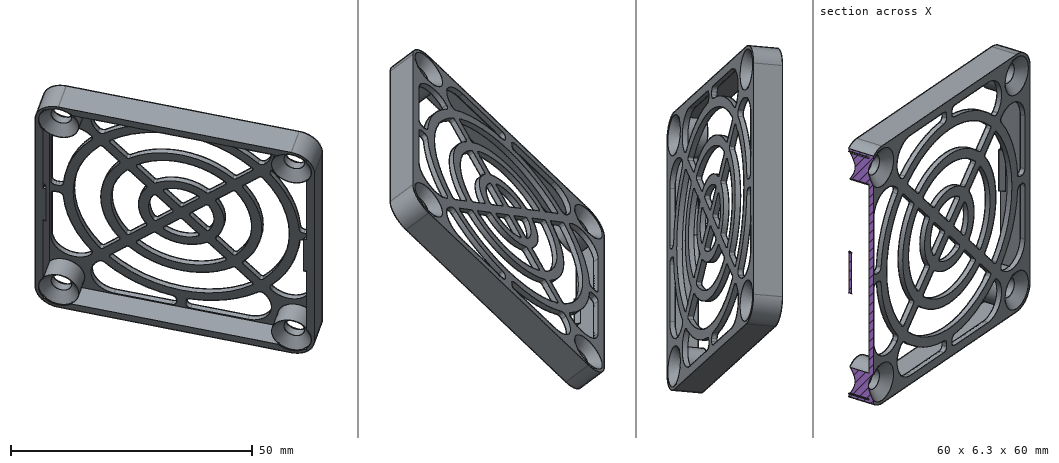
import cadquery as cq

side = 60.0
depth = 6.3
corner_radius = 5.0
wall = 1.75
cavity_side = side - 2 * wall
grille_thickness = 1.2
cavity_depth = depth - grille_thickness

screw_spacing = 50.0
post_diameter = 8.6
screw_hole_diameter = 4.4
countersink_depth = (post_diameter - screw_hole_diameter) / 2
rim_recess = 0.3

bar_width = 2.2
half_bar = bar_width / 2
bridge_width = 2.0
ring_pitch = 8.1
ring_count = 3
outer_ring_radius = ring_count * ring_pitch + half_bar
opening_side = 56.0
cell_corner_radius = 0.5
opening_small_radius = 1.0
opening_large_radius = 5.0

pad_length = 9.6
pad_projection = 0.65
pad_depth = 1.25
pad_root = wall / 2


def plane_at(y):
    """Workplane at the given Y whose extrusions run towards +Y."""
    return cq.Workplane("ZX", origin=(0, y, 0))


def turn(shape, angle):
    """Rotate a shape about the central Y axis."""
    return shape.rotate((0, 0, 0), (0, 1, 0), angle)


def make_frame():
    """Rounded block hollowed from the rim down to the grille."""
    block = plane_at(0).rect(side, side).extrude(depth)
    block = block.edges("|Y").fillet(corner_radius)
    cavity = plane_at(0).rect(cavity_side, cavity_side).extrude(cavity_depth)
    return block.cut(cavity)


def make_posts():
    """Four solid posts, one in each corner."""
    centers = plane_at(0).rect(screw_spacing, screw_spacing, forConstruction=True).vertices()
    return centers.circle(post_diameter / 2).extrude(depth)


def make_pads():
    """Wedges that stand proud of both X walls at the rim and fade out into the walls further in."""
    wall_face = cavity_side / 2
    profile = [
        (wall_face + pad_root, 0),
        (wall_face - pad_projection, 0),
        (wall_face, pad_depth),
        (wall_face + pad_root, pad_depth),
    ]
    pad = cq.Workplane("XY").polyline(profile).close().extrude(pad_length / 2, both=True)
    return pad.union(turn(pad, 180))


def make_disc(radius):
    """Disc filling the grille thickness."""
    return plane_at(cavity_depth).circle(radius).extrude(grille_thickness)


def make_spokes():
    """Two crossed bars along the diagonals."""
    bar = plane_at(cavity_depth).rect(2 * side, bar_width).extrude(grille_thickness)
    return turn(bar, 45).union(turn(bar, -45))


def keep_between_spokes(shape):
    """Keep the quarter of a grille shape that lies around +X, clear of the spokes."""
    triangle = [(0, 0), (side, side), (-side, side)]
    quarter = plane_at(cavity_depth).polyline(triangle).close().extrude(grille_thickness)
    return shape.intersect(quarter).cut(make_spokes())


def make_ring_cell(index):
    """Opening around +X just inside the ring of the given index, counted from the centre."""
    cell = make_disc((index + 1) * ring_pitch - half_bar)
    if index > 0:
        cell = cell.cut(make_disc(index * ring_pitch + half_bar))
    return keep_between_spokes(cell).edges("|Y").fillet(cell_corner_radius)


def make_frame_opening():
    """Opening around +X between the outer ring and the frame, on the +Z side of the bridge."""
    opening = plane_at(cavity_depth).rect(opening_side, opening_side).extrude(grille_thickness)
    opening = keep_between_spokes(opening.cut(make_disc(outer_ring_radius)))
    above_bridge = cq.Workplane("XY", origin=(0, 0, bridge_width / 2)).rect(side, side).extrude(side)
    opening = opening.intersect(above_bridge)
    opening = opening.edges("|Y").edges("not >Z").fillet(opening_small_radius)
    return opening.edges("|Y and >Z").fillet(opening_large_radius)


def make_screw_cutter():
    """Stepped cutter on the central axis: rim recess, countersink, hole and rear countersink."""
    wide = post_diameter / 2
    narrow = screw_hole_diameter / 2
    profile = [
        (0, 0),
        (wide, 0),
        (wide, rim_recess),
        (narrow, rim_recess + countersink_depth),
        (narrow, depth - countersink_depth),
        (wide, depth),
        (0, depth),
    ]
    return cq.Workplane("XY").polyline(profile).close().revolve(360, (0, 0, 0), (0, 1, 0))


def make_quarter_cuts():
    """Everything cut from one quarter; the other quarters repeat it."""
    frame_opening = make_frame_opening()
    cuts = [make_ring_cell(index) for index in range(ring_count)]
    cuts.append(frame_opening)
    cuts.append(frame_opening.mirror("XY"))
    cuts.append(make_screw_cutter().translate((screw_spacing / 2, 0, screw_spacing / 2)))
    return cuts


part = make_frame().union(make_posts()).union(make_pads())

quarter_cuts = make_quarter_cuts()
for angle in (0, 90, 180, 270):
    for cutter in quarter_cuts:
        part = part.cut(turn(cutter, angle))

result = part